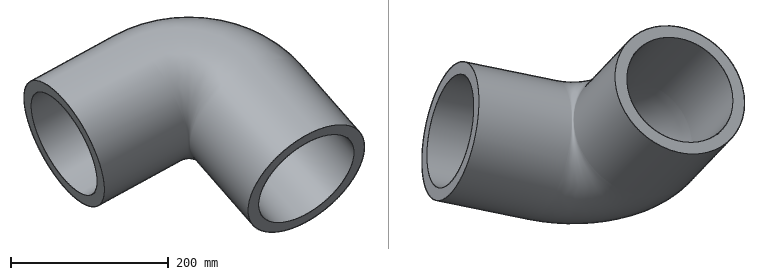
import cadquery as cq

outer_diameter = 180.0
bore_diameter = 147.2
overall_length = 311.0
leg_length = 129.0
bend_angle = 90.0

axis_to_end = overall_length - outer_diameter / 2
bend_radius = axis_to_end - leg_length


def elbow_body(diameter):
    """Solid round bar following the elbow centreline: leg, bend, leg."""
    radius = diameter / 2
    front_leg = (
        cq.Workplane("XZ", origin=(0, -bend_radius, 0))
        .circle(radius)
        .extrude(leg_length)
    )
    bend = (
        cq.Workplane("XZ", origin=(0, -bend_radius, 0))
        .circle(radius)
        .revolve(bend_angle, (bend_radius, 1, 0), (bend_radius, 0, 0))
    )
    side_leg = (
        cq.Workplane("YZ", origin=(bend_radius, 0, 0))
        .circle(radius)
        .extrude(leg_length)
    )
    return front_leg.union(bend).union(side_leg)


result = elbow_body(outer_diameter).cut(elbow_body(bore_diameter))